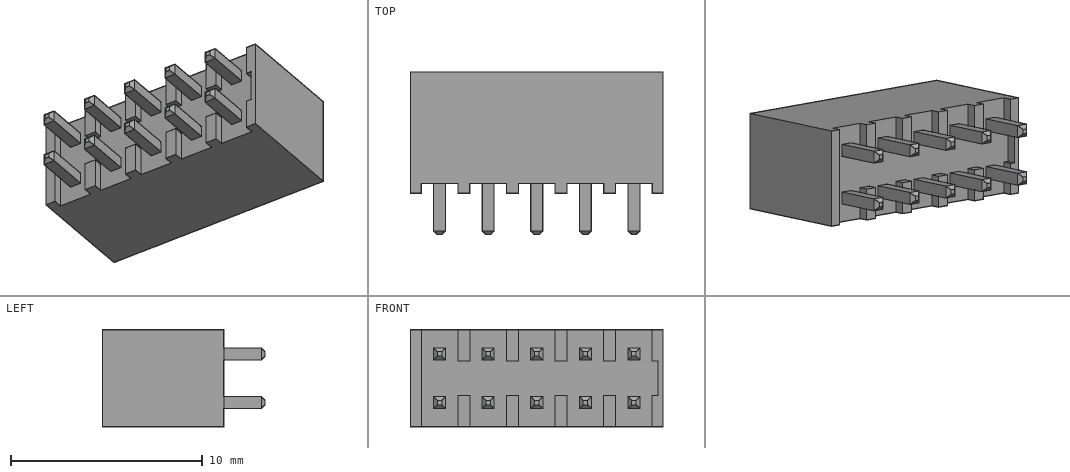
import cadquery as cq

PITCH = 2.54
COLUMNS = 5
ROWS = 2

END_MARGIN = 0.51
HOUSING_X = COLUMNS * PITCH + END_MARGIN
HOUSING_Y = 6.35
HOUSING_Z = ROWS * PITCH

RECESS_DEPTH = 0.51
RIB_WIDTH = 0.635
RIB_LENGTH = 1.65
BAY_WIDTH = PITCH - RIB_WIDTH
CHANNEL_HEIGHT = HOUSING_Z - 2 * RIB_LENGTH
RECESS_X = (COLUMNS - 1) * PITCH + BAY_WIDTH
KEY_NOTCH_DEPTH = 0.30

PIN_SIZE = 0.635
PIN_PROJECTION = 2.16
TIP_LENGTH = 0.2
TIP_FLAT = PIN_SIZE - 2 * TIP_LENGTH

COLUMN_X = [(i - (COLUMNS - 1) / 2) * PITCH for i in range(COLUMNS)]
ROW_Z = [(i - (ROWS - 1) / 2) * PITCH for i in range(ROWS)]


def recess_cutter(x_start, x_end, height):
    """Block that removes the recess depth from the pin face, centred on Z = 0."""
    return cq.Workplane("XY").box(
        x_end - x_start, RECESS_DEPTH, height, centered=(False, False, True)
    ).translate((x_start, 0, 0))


def make_housing():
    housing = cq.Workplane("XY").box(
        HOUSING_X, HOUSING_Y, HOUSING_Z, centered=(True, False, True)
    )
    for x in COLUMN_X:
        bay = recess_cutter(x - BAY_WIDTH / 2, x + BAY_WIDTH / 2, HOUSING_Z)
        housing = housing.cut(bay)
    channel = recess_cutter(-RECESS_X / 2, RECESS_X / 2 + KEY_NOTCH_DEPTH, CHANNEL_HEIGHT)
    return housing.cut(channel)


def make_pin(x, z):
    """Pin rising from the recessed face toward -Y, ending in a truncated pyramid."""
    shank_length = RECESS_DEPTH + PIN_PROJECTION - TIP_LENGTH
    shank = (
        cq.Workplane("XZ")
        .rect(PIN_SIZE, PIN_SIZE)
        .extrude(shank_length)
    )
    tip = (
        cq.Workplane("XZ", origin=(0, -shank_length, 0))
        .rect(PIN_SIZE, PIN_SIZE)
        .workplane(offset=TIP_LENGTH)
        .rect(TIP_FLAT, TIP_FLAT)
        .loft(ruled=True)
    )
    return shank.union(tip).translate((x, RECESS_DEPTH, z))


result = make_housing()
for pin_x in COLUMN_X:
    for pin_z in ROW_Z:
        result = result.union(make_pin(pin_x, pin_z))